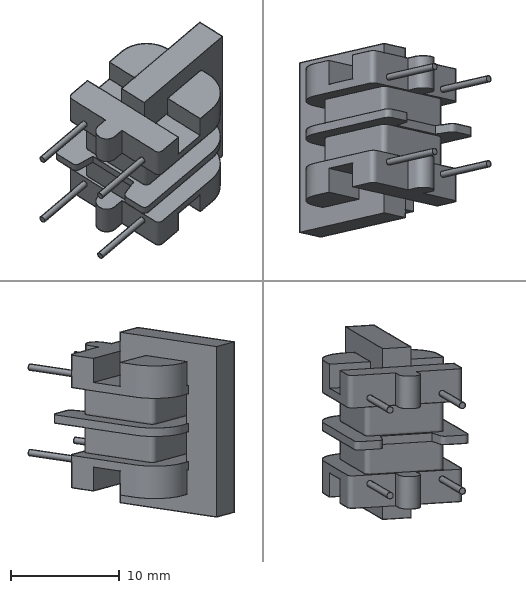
import cadquery as cq


bobbin_width = 11.0
flange_depth = 10.55
back_radius = 3.05
corner_radius = 0.5

end_flange_inner_z = 3.18
end_flange_outer_z = 6.22
end_flange_height = end_flange_outer_z - end_flange_inner_z
lug_radius = 1.0
front_reach = 1.98

middle_flange_height = 0.8
gap_floor_reach = 0.05
gap_floor_width = 4.94
gap_mouth_width = 5.77
selection_margin = 0.2

winding_width = 7.6
winding_front_y = 0.25
winding_depth = 8.06
winding_bottom_z = 0.08
winding_top_z = 3.55
winding_height = winding_top_z - winding_bottom_z
winding_edge_radius = 0.5

core_width = 2.75
core_height = 16.0
core_back_y = 13.77
core_depth = 11.05
core_front_y = core_back_y - core_depth
core_leg_depth = 3.08
core_back_limb_depth = 3.45
core_clearance = 0.18

recess_floor_z = 3.97
recess_height = end_flange_outer_z - recess_floor_z
channel_width = core_width + 2 * core_clearance

pin_radius = 0.3
pin_x = 3.5
pin_z = 4.01
pin_length = 5.99
pin_embed = 0.6


def block(width, depth, height, front_y, bottom_z):
    """Box centred on X, starting at the given front Y and bottom Z."""
    corner = (-width / 2, front_y, bottom_z)
    return cq.Workplane("XY").box(width, depth, height, centered=False).translate(corner)


def flange_plate(front_y, bottom_z, height):
    """Plate with large rounds at the back and small rounds at the front corners."""
    plate = block(bobbin_width, flange_depth - front_y, height, front_y, bottom_z)
    plate = plate.edges("|Z and >Y").fillet(back_radius)
    return plate.edges("|Z and <Y").fillet(corner_radius)


def end_flange():
    """Upper end flange with its front lug and the recesses for the core."""
    flange = flange_plate(0, end_flange_inner_z, end_flange_height)
    lug_straight = front_reach - lug_radius
    lug = (
        cq.Workplane("XY", origin=(0, 0, end_flange_inner_z))
        .moveTo(-lug_radius, corner_radius)
        .lineTo(-lug_radius, -lug_straight)
        .threePointArc((0, -front_reach), (lug_radius, -lug_straight))
        .lineTo(lug_radius, corner_radius)
        .close()
        .extrude(end_flange_height)
    )
    cross_slot = block(bobbin_width, core_leg_depth, recess_height, core_front_y, recess_floor_z)
    back_channel = block(
        channel_width, flange_depth - core_front_y, recess_height, core_front_y, recess_floor_z
    )
    return flange.union(lug).cut(cross_slot).cut(back_channel)


def middle_flange():
    """Thin flange whose front is split into two feet by a flared gap."""
    bottom_z = -middle_flange_height / 2
    plate = flange_plate(-front_reach, bottom_z, middle_flange_height)
    gap = (
        cq.Workplane("XY", origin=(0, 0, bottom_z))
        .moveTo(-gap_floor_width / 2, -gap_floor_reach)
        .lineTo(gap_floor_width / 2, -gap_floor_reach)
        .lineTo(gap_mouth_width / 2, -front_reach)
        .lineTo(-gap_mouth_width / 2, -front_reach)
        .close()
        .extrude(middle_flange_height)
    )
    half_span = gap_mouth_width / 2 + selection_margin
    mouth_edges = cq.selectors.BoxSelector(
        (-half_span, -front_reach - selection_margin, bottom_z - selection_margin),
        (half_span, -front_reach + selection_margin, -bottom_z + selection_margin),
    )
    return plate.cut(gap).edges("|Z").edges(mouth_edges).fillet(corner_radius)


def winding():
    """Upper winding: a block rounded on every edge, its ends sunk into the flanges."""
    body = block(winding_width, winding_depth, winding_height, winding_front_y, winding_bottom_z)
    return body.edges().fillet(winding_edge_radius)


def core():
    """Rectangular core ring whose front leg runs through the bobbin."""
    ring = block(core_width, core_depth, core_height, core_front_y, -core_height / 2)
    window_depth = core_depth - core_leg_depth - core_back_limb_depth
    window = block(
        core_width, window_depth, 2 * recess_floor_z, core_front_y + core_leg_depth, -recess_floor_z
    )
    return ring.cut(window)


def pin(x):
    """Upper pin at the given X, pointing forward from the end flange."""
    return (
        cq.Workplane("XZ", origin=(x, pin_embed, pin_z))
        .circle(pin_radius)
        .extrude(pin_length + pin_embed)
    )


upper_half = end_flange().union(winding())
for side in (-1, 1):
    upper_half = upper_half.union(pin(side * pin_x))
lower_half = upper_half.mirror("XY")

result = middle_flange().union(upper_half).union(lower_half).union(core())